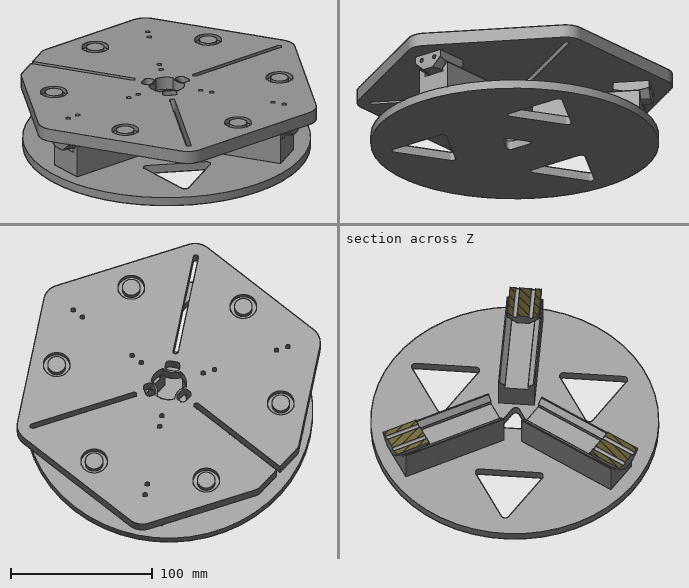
import cadquery as cq
import math

BASE_THICKNESS = 6.3
BLOCK_HEIGHT = 23.5
PLATE_GAP = 7.5
PLATE_THICKNESS = 9.5
BLOCK_TOP = BASE_THICKNESS + BLOCK_HEIGHT
PLATE_BOTTOM = BLOCK_TOP + PLATE_GAP
PLATE_TOP = PLATE_BOTTOM + PLATE_THICKNESS

SUPPORT_ANGLES = (30, 150, 270)
SLOT_ANGLES = (90, 210, 330)

BASE_DIAMETER = 203.0
WINDOW_FILLET = 3.0
CENTER_WINDOW_ANGLE = 270
CENTER_WINDOW_INRADIUS = 7.2
OUTER_WINDOW_EDGE = 45.4
OUTER_WINDOW_TIP = 87.6

BLOCK_INNER_END = 14.5
BLOCK_LENGTH = 76.5
BLOCK_WIDTH = 25.5
GROOVE_TOP_WIDTH = 23.8
CHANNEL_WIDTH = 16.2
CHANNEL_FLOOR = 23.8
FLANK_ANGLE = math.radians(42)

BRACKET_LENGTH = 25.6
BRACKET_WIDTH = 22.5
BRACKET_BOTTOM = 25.8
FLANK_TOP = 30.0
FLANK_RADIUS = 56.2
CROSS_HOLE_DIAMETER = 2.7
CROSS_HOLE_SPACING = 11.2
CROSS_HOLE_HEIGHT = 33.3

CORNER_TO_CORNER = 224.7
CORNER_RADIUS = 13.5
TRIMMED_CORNER_DISTANCE = 102.0
TRIMMED_CORNER_RADIUS = 6.7
TRIM_ANGLE = 210
SLOT_WIDTH = 3.5
SLOT_INNER_END = 24.0
SLOT_OUTER_END = 103.3
SCREW_HOLE_DIAMETER = 3.1
SCREW_SPACING = 8.5
INNER_SCREW_RADIUS = 29.9
OUTER_SCREW_RADIUS = 84.7
RING_CIRCLE_RADIUS = 80.5
RING_OUTER_DIAMETER = 18.9
RING_INNER_DIAMETER = 12.5
RING_DEPTH = 3.5
RING_COUNT = 6
CENTER_HOLE_DIAMETER = 25.2
POCKET_RADIUS = 14.2
POCKET_LENGTH = 7.5
POCKET_WIDTH = 10.0
POCKET_FILLET = 2.7
POCKET_WALL_CENTER = 20.2
POCKET_WALL_RADIUS = 11.2


def turned(body, angle):
    """Turn a body about the vertical axis of the assembly."""
    return body.rotate((0, 0, 0), (0, 0, 1), angle)


def triangle_window(inradius, center):
    """Rounded equilateral cutter through the base, one tip pointing along +X."""
    return (
        cq.Workplane("XY")
        .center(center, 0)
        .polygon(3, 4 * inradius)
        .extrude(BASE_THICKNESS)
        .edges("|Z")
        .fillet(WINDOW_FILLET)
    )


def make_base():
    base = cq.Workplane("XY").circle(BASE_DIAMETER / 2).extrude(BASE_THICKNESS)
    base = base.cut(turned(triangle_window(CENTER_WINDOW_INRADIUS, 0), CENTER_WINDOW_ANGLE))
    inradius = (OUTER_WINDOW_TIP + WINDOW_FILLET - OUTER_WINDOW_EDGE) / 3
    window = triangle_window(inradius, OUTER_WINDOW_EDGE + inradius)
    for angle in SLOT_ANGLES:
        base = base.cut(turned(window, angle))
    return base


def make_block():
    """Block lying along +X, with the groove running its full length."""
    half_top = GROOVE_TOP_WIDTH / 2
    half_channel = CHANNEL_WIDTH / 2
    groove_foot = BLOCK_TOP - (half_top - half_channel) * math.tan(FLANK_ANGLE)
    block = (
        cq.Workplane("XY", origin=(BLOCK_INNER_END + BLOCK_LENGTH / 2, 0, BASE_THICKNESS))
        .rect(BLOCK_LENGTH, BLOCK_WIDTH)
        .extrude(BLOCK_HEIGHT)
    )
    groove = (
        cq.Workplane("YZ", origin=(BLOCK_INNER_END, 0, 0))
        .moveTo(-half_top, BLOCK_TOP)
        .lineTo(-half_channel, groove_foot)
        .lineTo(-half_channel, CHANNEL_FLOOR)
        .lineTo(half_channel, CHANNEL_FLOOR)
        .lineTo(half_channel, groove_foot)
        .lineTo(half_top, BLOCK_TOP)
        .close()
        .extrude(BLOCK_LENGTH)
    )
    return block.cut(groove)


def flank_cylinder(side):
    """Large tilted cylinder whose surface forms the flank on one side."""
    axis_y = BRACKET_WIDTH / 2 - FLANK_RADIUS * math.sin(FLANK_ANGLE)
    axis_z = FLANK_TOP + FLANK_RADIUS * math.cos(FLANK_ANGLE)
    plane = cq.Plane(
        origin=(OUTER_SCREW_RADIUS, side * axis_y, axis_z),
        xDir=(1, 0, 0),
        normal=(0, side * math.cos(FLANK_ANGLE), math.sin(FLANK_ANGLE)),
    )
    return cq.Workplane(plane).circle(FLANK_RADIUS).extrude(FLANK_RADIUS, both=True)


def make_bracket():
    """Bracket lying along +X under the outer screw pair."""
    bracket = (
        cq.Workplane("XY", origin=(OUTER_SCREW_RADIUS, 0, BRACKET_BOTTOM))
        .rect(BRACKET_LENGTH, BRACKET_WIDTH)
        .extrude(PLATE_BOTTOM - BRACKET_BOTTOM)
    )
    for side in (-1, 1):
        bracket = bracket.intersect(flank_cylinder(side))
    cross_holes = (
        cq.Workplane("YZ", origin=(OUTER_SCREW_RADIUS, 0, CROSS_HOLE_HEIGHT))
        .pushPoints([(-CROSS_HOLE_SPACING / 2, 0), (CROSS_HOLE_SPACING / 2, 0)])
        .circle(CROSS_HOLE_DIAMETER / 2)
        .extrude(BRACKET_LENGTH, both=True)
    )
    return bracket.cut(cross_holes)


def plate_blank():
    """Rounded hexagon with one corner trimmed off."""
    tip_loss = CORNER_RADIUS * (1 / math.cos(math.radians(30)) - 1)
    hexagon = (
        cq.Workplane("XY", origin=(0, 0, PLATE_BOTTOM))
        .polygon(6, CORNER_TO_CORNER + 2 * tip_loss)
        .extrude(PLATE_THICKNESS)
        .edges("|Z")
        .fillet(CORNER_RADIUS)
    )
    trim = (
        cq.Workplane("XY", origin=(TRIMMED_CORNER_DISTANCE + CORNER_TO_CORNER / 2, 0, PLATE_BOTTOM))
        .rect(CORNER_TO_CORNER, CORNER_TO_CORNER)
        .extrude(PLATE_THICKNESS)
    )
    trimmed = hexagon.cut(trim).edges("|Z").edges(">X").fillet(TRIMMED_CORNER_RADIUS)
    return turned(trimmed, TRIM_ANGLE)


def plate_workplane(x=0):
    return cq.Workplane("XY", origin=(x, 0, PLATE_BOTTOM))


def radial_slot():
    length = SLOT_OUTER_END - SLOT_INNER_END
    middle = (SLOT_OUTER_END + SLOT_INNER_END) / 2
    return plate_workplane(middle).slot2D(length, SLOT_WIDTH).extrude(PLATE_THICKNESS)


def screw_holes():
    """Inner and outer pairs of screw holes along one support direction."""
    places = [
        (radius + side * SCREW_SPACING / 2, 0)
        for radius in (INNER_SCREW_RADIUS, OUTER_SCREW_RADIUS)
        for side in (-1, 1)
    ]
    return plate_workplane().pushPoints(places).circle(SCREW_HOLE_DIAMETER / 2).extrude(PLATE_THICKNESS)


def ring_grooves():
    """Annular grooves in the top face, each leaving a round island."""
    return (
        cq.Workplane("XY", origin=(0, 0, PLATE_TOP - RING_DEPTH))
        .polarArray(RING_CIRCLE_RADIUS, 0, 360, RING_COUNT)
        .circle(RING_OUTER_DIAMETER / 2)
        .circle(RING_INNER_DIAMETER / 2)
        .extrude(RING_DEPTH)
    )


def pocket():
    """Rounded rectangular cutter beside the center hole."""
    return (
        plate_workplane(POCKET_RADIUS)
        .rect(POCKET_LENGTH, POCKET_WIDTH)
        .extrude(PLATE_THICKNESS)
        .edges("|Z")
        .fillet(POCKET_FILLET)
    )


def center_hole():
    """Round hole with an arc-shaped wall bulging in at each pocket."""
    hole = plate_workplane().circle(CENTER_HOLE_DIAMETER / 2).extrude(PLATE_THICKNESS)
    wall = plate_workplane(POCKET_WALL_CENTER).circle(POCKET_WALL_RADIUS).extrude(PLATE_THICKNESS)
    for angle in SLOT_ANGLES:
        hole = hole.cut(turned(wall, angle))
    return hole


def make_plate():
    plate = plate_blank().cut(center_hole()).cut(ring_grooves())
    for angle in SLOT_ANGLES:
        plate = plate.cut(turned(radial_slot(), angle)).cut(turned(pocket(), angle))
    for angle in SUPPORT_ANGLES:
        plate = plate.cut(turned(screw_holes(), angle))
    return plate


base = make_base()
plate = make_plate()
blocks = [turned(make_block(), angle) for angle in SUPPORT_ANGLES]
brackets = [turned(make_bracket(), angle) for angle in SUPPORT_ANGLES]

result = cq.Compound.makeCompound(
    [base.val(), plate.val()]
    + [block.val() for block in blocks]
    + [bracket.val() for bracket in brackets]
)